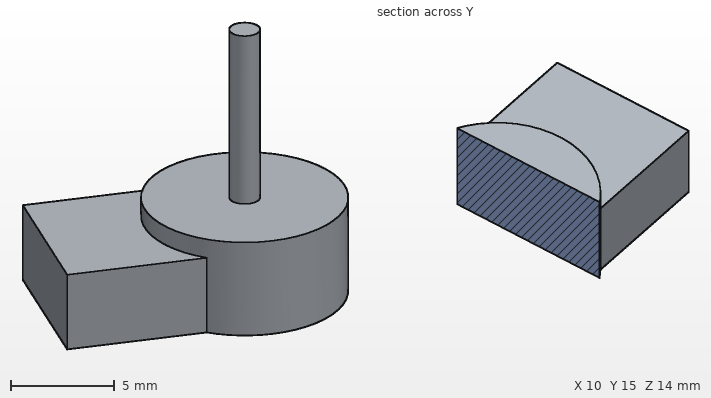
import cadquery as cq

overall_length = 15.0
overall_height = 14.0
disc_diameter = 10.0
disc_height = 5.0
block_width = 8.0
block_height = 4.0
pin_diameter = 1.5

block_reach = overall_length - disc_diameter / 2

disc = cq.Workplane("XY").circle(disc_diameter / 2).extrude(disc_height)

block = cq.Workplane("XY").box(
    block_width, block_reach, block_height, centered=(True, False, False)
).translate((0, -block_reach, 0))

pin = cq.Workplane("XY").circle(pin_diameter / 2).extrude(overall_height)

result = disc.union(block).union(pin)